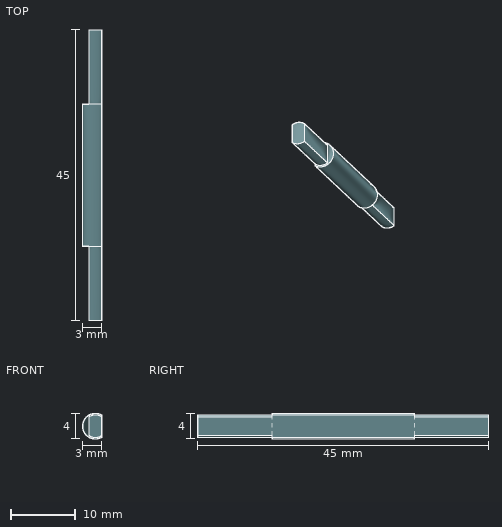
import cadquery as cq

TOTAL_LENGTH = 45.0
BARREL_LENGTH = 22.0
BARREL_DIAMETER = 4.0
JOURNAL_DIAMETER = 3.5
FLAT_OFFSET = 1.0


def flatted_bar(diameter, length, x_min, x_max):
    """Round bar along Y, centred on the origin, trimmed to x_min..x_max."""
    round_bar = cq.Workplane("XZ").circle(diameter / 2).extrude(length / 2, both=True)
    trim = cq.Workplane("XY").box(x_max - x_min, length, diameter)
    return round_bar.intersect(trim.translate(((x_min + x_max) / 2, 0, 0)))


journals = flatted_bar(JOURNAL_DIAMETER, TOTAL_LENGTH, -FLAT_OFFSET, FLAT_OFFSET)
barrel = flatted_bar(BARREL_DIAMETER, BARREL_LENGTH, -BARREL_DIAMETER / 2, FLAT_OFFSET)

result = barrel.union(journals).clean()